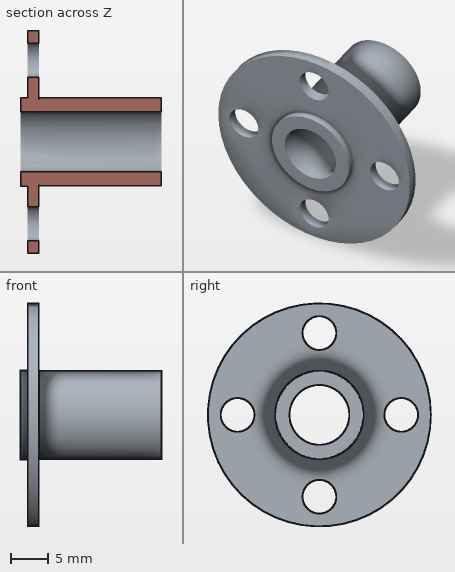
import cadquery as cq

flange_diameter = 30.0
flange_thickness = 1.5
collar_diameter = 12.0
collar_length = 1.0
barrel_diameter = 11.9
relief_diameter = 11.7
relief_width = 0.05
total_length = 19.0
bore_diameter = 8.0
bolt_hole_diameter = 4.5
bolt_circle_diameter = 22.0
bolt_hole_count = 4

flange_back_x = collar_length + flange_thickness
barrel_start_x = flange_back_x + relief_width
barrel_length = total_length - barrel_start_x


def disc(start_x, diameter, length):
    """Solid cylinder about the X axis, starting at start_x."""
    return cq.Workplane("YZ", origin=(start_x, 0, 0)).circle(diameter / 2).extrude(length)


collar = disc(0, collar_diameter, collar_length)
flange = disc(collar_length, flange_diameter, flange_thickness)
relief_neck = disc(flange_back_x, relief_diameter, relief_width)
barrel = disc(barrel_start_x, barrel_diameter, barrel_length)

bore = disc(0, bore_diameter, total_length)

bolt_holes = (
    cq.Workplane("YZ", origin=(collar_length, 0, 0))
    .polarArray(bolt_circle_diameter / 2, 0, 360, bolt_hole_count)
    .circle(bolt_hole_diameter / 2)
    .extrude(flange_thickness)
)

result = collar.union(flange).union(relief_neck).union(barrel).cut(bore).cut(bolt_holes)